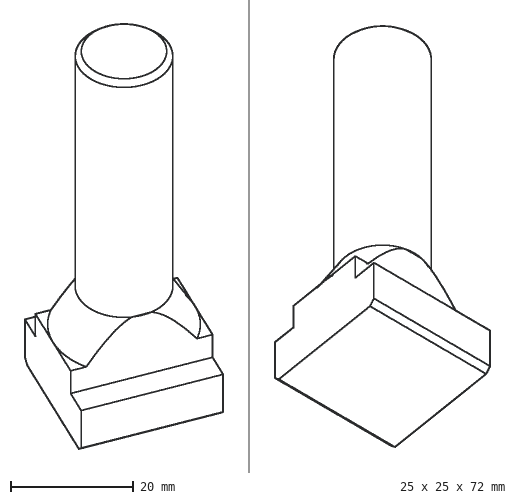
import cadquery as cq

total_height = 72.0
head_side = 25.0

flange_height = 9.0
neck_width = 15.6
neck_top = 13.8
flange_chamfer = 1.0

cone_top = 21.95
shank_diameter = 16.0
shank_chamfer = 1.0


def make_head():
    """Square flange, chamfered along its two lower Y edges, with a narrower neck."""
    flange = cq.Workplane("XY").box(head_side, head_side, flange_height, centered=(True, True, False))
    flange = flange.faces("<Z").edges("|Y").chamfer(flange_chamfer)
    neck = cq.Workplane("XY").box(neck_width, head_side, neck_top, centered=(True, True, False))
    return flange.union(neck)


def make_cone():
    """Cone from the head width up to the shank, trimmed flush with the neck sides."""
    cone_height = cone_top - neck_top
    cone = cq.Workplane(
        cq.Solid.makeCone(head_side / 2, shank_diameter / 2, cone_height, pnt=cq.Vector(0, 0, neck_top))
    )
    trim = (
        cq.Workplane("XY")
        .workplane(offset=neck_top)
        .box(neck_width, head_side, cone_height, centered=(True, True, False))
    )
    return cone.intersect(trim)


def make_shank():
    """Round shank with a chamfered tip."""
    shank = cq.Workplane("XY").workplane(offset=cone_top).circle(shank_diameter / 2)
    return shank.extrude(total_height - cone_top).faces(">Z").chamfer(shank_chamfer)


result = make_head().union(make_cone()).union(make_shank())